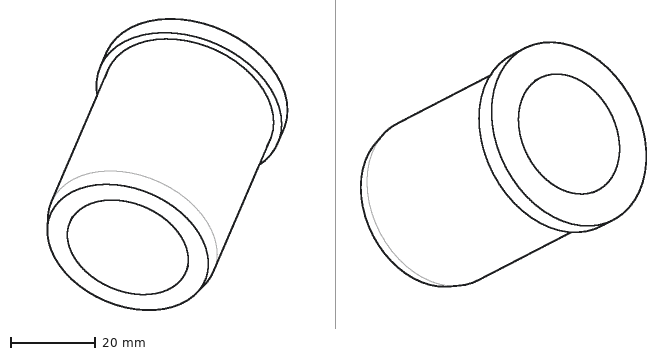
import cadquery as cq
import math

length = 56.0
flange_diameter = 46.0
flange_thickness = 5.0
body_diameter = 42.0
bore_diameter = 30.0

tip_diameter = 40.0
taper_angle = 15.0

flange_radius = flange_diameter / 2
body_radius = body_diameter / 2
bore_radius = bore_diameter / 2
tip_radius = tip_diameter / 2
taper_length = (body_radius - tip_radius) / math.tan(math.radians(taper_angle))
flange_start = length - flange_thickness

half_section = (
    cq.Workplane("XY")
    .moveTo(bore_radius, 0)
    .lineTo(tip_radius, 0)
    .lineTo(body_radius, taper_length)
    .lineTo(body_radius, flange_start)
    .lineTo(flange_radius, flange_start)
    .lineTo(flange_radius, length)
    .lineTo(bore_radius, length)
    .close()
)

result = half_section.revolve(360, (0, 0, 0), (0, 1, 0))